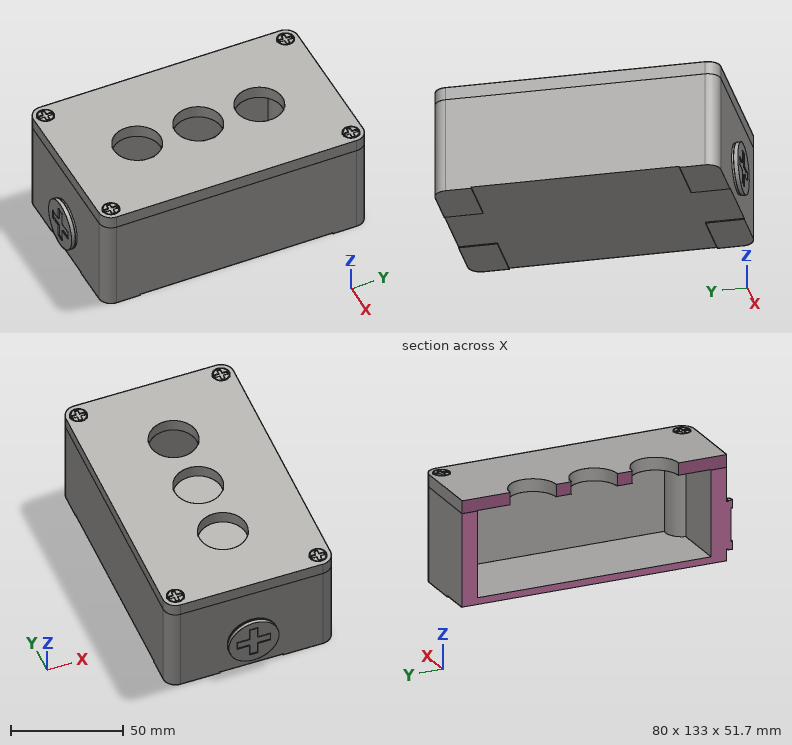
import cadquery as cq

width = 80.0
total_length = 133.0
total_height = 51.7
corner_radius = 6.0
lid_thickness = 6.1
side_wall = 4.0
end_wall = 7.7
floor_thickness = 4.0

plug_radius = 12.0
plug_neck_radius = 11.6
plug_neck_length = 0.9
plug_disc_thickness = 2.0
plug_centre_z = 17.5
plug_cross_span = 16.0
plug_cross_width = 4.0
plug_cross_depth = 0.5

screw_inset = 6.0
screw_hole_radius = 4.0
screw_head_radius = 3.6
screw_gap_depth = 1.0
screw_cross_span = 6.0
screw_cross_width = 1.6
screw_cross_depth = 0.5
post_radius = 8.0

button_count = 3
button_radius = 11.3
button_pitch = 30.0

foot_height = 0.5
channel_width_x = 30.0
channel_width_y = 94.7

length = total_length - plug_neck_length - plug_disc_thickness
base_height = total_height - lid_thickness
cavity_depth = base_height - floor_thickness
plug_face_y = -total_length + length / 2
screw_span_x = width - 2 * screw_inset
screw_span_y = length - 2 * screw_inset


def rounded_block(bottom_z, height):
    """Block with the enclosure outline and rounded vertical edges."""
    return (
        cq.Workplane("XY")
        .workplane(offset=bottom_z)
        .rect(width, length)
        .extrude(height)
        .edges("|Z")
        .fillet(corner_radius)
    )


def at_screws(plane_z):
    """Workplane at the given height with a point on each screw axis."""
    return (
        cq.Workplane("XY")
        .workplane(offset=plane_z)
        .rect(screw_span_x, screw_span_y, forConstruction=True)
        .vertices()
    )


def cross(span, arm_width, depth):
    """Cross-shaped cutter standing on the XY plane, centred on Z."""
    arm = cq.Workplane("XY").rect(span, arm_width).extrude(depth)
    return arm.union(cq.Workplane("XY").rect(arm_width, span).extrude(depth))


def make_cavity():
    """Inner space of the base, with round screw posts left in its corners."""
    cavity = (
        cq.Workplane("XY")
        .workplane(offset=floor_thickness)
        .rect(width - 2 * side_wall, length - 2 * end_wall)
        .extrude(cavity_depth)
    )
    posts = at_screws(floor_thickness).circle(post_radius).extrude(cavity_depth)
    return cavity.cut(posts)


def make_plug():
    """Neck and disc on the -Y wall, with a cross recess in the disc face."""
    neck_plane = cq.Workplane("XZ", origin=(0, -length / 2, plug_centre_z))
    neck = neck_plane.circle(plug_neck_radius).extrude(plug_neck_length)
    disc = (
        neck_plane.workplane(offset=plug_neck_length)
        .circle(plug_radius)
        .extrude(plug_disc_thickness)
    )
    recess = (
        cross(plug_cross_span, plug_cross_width, plug_cross_depth)
        .rotate((0, 0, 0), (1, 0, 0), -90)
        .translate((0, plug_face_y, plug_centre_z))
    )
    return neck.union(disc).cut(recess)


def make_base():
    """Hollow base with corner feet and the cable-entry plug."""
    channel_x = cq.Workplane("XY").rect(channel_width_x, length).extrude(foot_height)
    channel_y = cq.Workplane("XY").rect(width, channel_width_y).extrude(foot_height)
    base = rounded_block(0, base_height)
    base = base.cut(make_cavity()).cut(channel_x).cut(channel_y)
    return base.union(make_plug())


def make_lid():
    """Flat lid with button holes and four cross-head screws."""
    lid = rounded_block(base_height, lid_thickness)
    buttons = (
        cq.Workplane("XY")
        .workplane(offset=base_height)
        .rarray(1.3, button_pitch, 1, button_count)
        .circle(button_radius)
        .extrude(lid_thickness)
    )
    gap_floor_z = total_height - screw_gap_depth
    gaps = at_screws(gap_floor_z).circle(screw_hole_radius).extrude(screw_gap_depth)
    heads = at_screws(gap_floor_z).circle(screw_head_radius).extrude(screw_gap_depth)
    lid = lid.cut(buttons).cut(gaps.cut(heads))

    recess = cross(screw_cross_span, screw_cross_width, screw_cross_depth)
    for x in (-screw_span_x / 2, screw_span_x / 2):
        for y in (-screw_span_y / 2, screw_span_y / 2):
            lid = lid.cut(recess.translate((x, y, total_height - screw_cross_depth)))
    return lid


base = make_base()
lid = make_lid()

result = cq.Compound.makeCompound([base.val(), lid.val()])